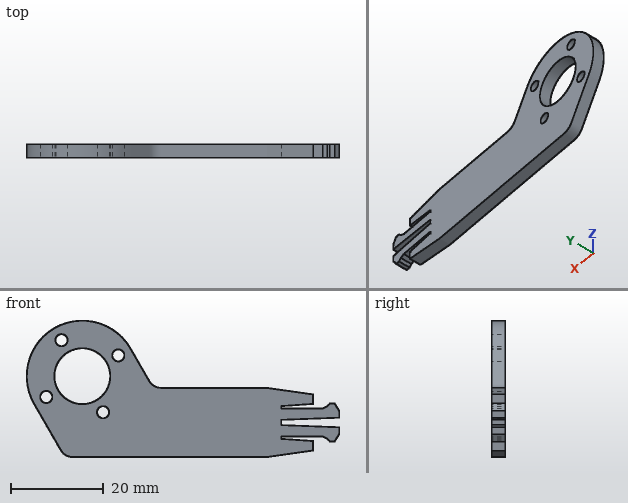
import cadquery as cq
import math

thickness = 3.0
overall_length = 67.5
head_radius = 12.0
bore_radius = 6.0
bolt_circle_radius = 9.0
bolt_hole_diameter = 2.55
bolt_count = 4
head_angle = 30.0

arm_height = 15.0
arm_bottom = -17.5
arm_top = arm_bottom + arm_height
arm_axis = arm_bottom + arm_height / 2
corner_radius = 3.0

tip_x = overall_length - head_radius
taper_start_x = 39.8
prong_end_x = 49.8
slot_root_x = 43.0
barb_start_x = 51.9
barb_bend_x = 52.85
barb_crest_start_x = 53.45
barb_crest_end_x = 54.5

prong_outer = 6.1
prong_inner_end = 4.0
prong_inner_root = 3.5
finger_outer = 3.05
barb_bend = 3.5
barb_crest = 4.1
finger_tip_outer = 2.5
finger_inner_tip = 1.0
finger_inner_root = 0.55


def tangent_x(side, z):
    """X at height z on the head's slanted tangent line; side is +1 right, -1 left."""
    angle = math.radians(head_angle)
    return (side * head_radius - z * math.sin(angle)) / math.cos(angle)


def head_point(degrees):
    angle = math.radians(degrees)
    return (head_radius * math.cos(angle), head_radius * math.sin(angle))


fork_half = [
    (taper_start_x, arm_height / 2),
    (prong_end_x, prong_outer),
    (prong_end_x, prong_inner_end),
    (slot_root_x, prong_inner_root),
    (slot_root_x, finger_outer),
    (barb_start_x, finger_outer),
    (barb_bend_x, barb_bend),
    (barb_crest_start_x, barb_crest),
    (barb_crest_end_x, barb_crest),
    (tip_x, finger_tip_outer),
    (tip_x, finger_inner_tip),
    (slot_root_x, finger_inner_root),
]
upper_fork = [(x, arm_axis + offset) for x, offset in fork_half]
lower_fork = [(x, arm_axis - offset) for x, offset in reversed(fork_half)]

upper_corner = (tangent_x(1, arm_top), arm_top)
lower_corner = (tangent_x(-1, arm_bottom), arm_bottom)

plate = (
    cq.Workplane("XZ")
    .moveTo(*head_point(head_angle + 180))
    .threePointArc(head_point(head_angle + 90), head_point(head_angle))
    .polyline([upper_corner] + upper_fork + lower_fork + [lower_corner], includeCurrent=True)
    .close()
    .extrude(-thickness)
)

for corner_x, corner_z in (upper_corner, lower_corner):
    corner_edge = cq.selectors.NearestToPointSelector((corner_x, thickness / 2, corner_z))
    plate = plate.edges("|Y").edges(corner_edge).fillet(corner_radius)

bore = cq.Workplane("XZ").circle(bore_radius).extrude(-thickness)
bolt_holes = (
    cq.Workplane("XZ")
    .polarArray(bolt_circle_radius, head_angle, 360, bolt_count)
    .circle(bolt_hole_diameter / 2)
    .extrude(-thickness)
)

result = plate.cut(bore).cut(bolt_holes)